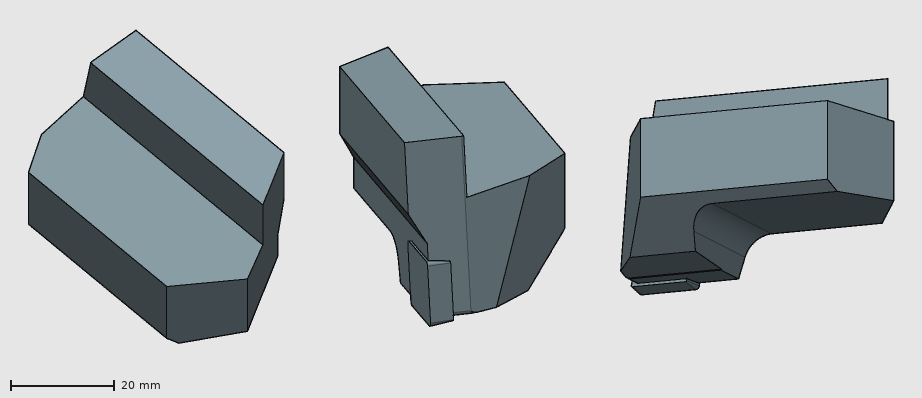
import cadquery as cq
import math


def tan(degrees):
    return math.tan(math.radians(degrees))


LENGTH = 61.7
DEPTH = 34.7
HEIGHT = 36.0

WALL_Y = 22.65
SHELF_FRONT_Z = 27.2
SHELF_SLOPE = 8.0
FRONT_FACE_BOTTOM_Z = 11.6
SOLE_Z = 1.2
SOLE_STEP = 0.2
SOLE_FRONT_Y = 9.45
RELIEF_TOP_Z = 22.0
RELIEF_DEPTH = 3.5
RELIEF_ANGLE = 30.0

LEAN = 10.0
LEFT_TOP_X = 7.45
FOOT_END_X = 21.4
FOOT_END_LEAN = 18.0
BODY_BOTTOM_Z = 9.5
FOOT_BLEND_RADIUS = 6.0
SOLE_CORNER_RADIUS = 0.7

TIP_Y = 13.9
END_ANGLE = 30.0
FRONT_LEFT_X = 14.25
FRONT_LEFT_ANGLE = 34.0
CLEARANCE_START_Y = 23.1
CLEARANCE_ANGLE = 10.0

INSERT_BACK_Y = 31.7
INSERT_THICKNESS = 4.9
INSERT_HEIGHT = 12.7
INSERT_TAPER = 7.0
NOSE_RADIUS = 0.8

left_base_x = LEFT_TOP_X - HEIGHT * tan(LEAN)


def make_section():
    """YZ cross-section, extruded over the full length."""
    back_y = DEPTH - RELIEF_DEPTH
    relief_bottom_z = RELIEF_TOP_Z - RELIEF_DEPTH / tan(RELIEF_ANGLE)
    sole_front_z = FRONT_FACE_BOTTOM_Z - SOLE_FRONT_Y
    shelf_wall_z = SHELF_FRONT_Z - WALL_Y * tan(SHELF_SLOPE)
    return (
        cq.Workplane("YZ")
        .moveTo(0, FRONT_FACE_BOTTOM_Z)
        .lineTo(SOLE_FRONT_Y, sole_front_z)
        .lineTo(WALL_Y, SOLE_Z + SOLE_STEP)
        .lineTo(WALL_Y, SOLE_Z)
        .lineTo(back_y, SOLE_Z)
        .lineTo(back_y, relief_bottom_z)
        .lineTo(DEPTH, RELIEF_TOP_Z)
        .lineTo(DEPTH, HEIGHT)
        .lineTo(WALL_Y, HEIGHT)
        .lineTo(WALL_Y, shelf_wall_z)
        .lineTo(0, SHELF_FRONT_Z)
        .close()
        .extrude(LENGTH)
    )


def make_elevation():
    """XZ outline with the leaning left side and the rounded foot."""
    foot_top_x = FOOT_END_X + (BODY_BOTTOM_Z - SOLE_Z) * tan(FOOT_END_LEAN)
    outline = (
        cq.Workplane("XZ")
        .moveTo(left_base_x + SOLE_Z * tan(LEAN), SOLE_Z)
        .lineTo(FOOT_END_X, SOLE_Z)
        .lineTo(foot_top_x, BODY_BOTTOM_Z)
        .lineTo(LENGTH, BODY_BOTTOM_Z)
        .lineTo(LENGTH, HEIGHT)
        .lineTo(LEFT_TOP_X, HEIGHT)
        .close()
        .extrude(-DEPTH)
    )
    sole_corner = cq.selectors.NearestToPointSelector((left_base_x, DEPTH / 2, SOLE_Z))
    foot_corner = cq.selectors.NearestToPointSelector((foot_top_x, DEPTH / 2, BODY_BOTTOM_Z))
    return (
        outline
        .edges("|Y").edges(sole_corner).fillet(SOLE_CORNER_RADIUS)
        .edges("|Y").edges(foot_corner).fillet(FOOT_BLEND_RADIUS)
    )


def make_plan():
    """XY outline with the pointed right end and the angled front-left face."""
    front_left_y = FRONT_LEFT_X / tan(FRONT_LEFT_ANGLE)
    return (
        cq.Workplane("XY")
        .moveTo(FRONT_LEFT_X, 0)
        .lineTo(LENGTH - TIP_Y * tan(END_ANGLE), 0)
        .lineTo(LENGTH, TIP_Y)
        .lineTo(LENGTH - (DEPTH - TIP_Y) * tan(END_ANGLE), DEPTH)
        .lineTo(0, DEPTH)
        .lineTo(0, front_left_y)
        .close()
        .extrude(HEIGHT)
    )


def make_clearance_cut():
    """Leaning wedge that makes the left face fall away toward the front."""
    outer_x = left_base_x - LEFT_TOP_X
    wedge_base = cq.Wire.makePolygon(
        [
            cq.Vector(left_base_x, CLEARANCE_START_Y, 0),
            cq.Vector(left_base_x + CLEARANCE_START_Y * tan(CLEARANCE_ANGLE), 0, 0),
            cq.Vector(outer_x, 0, 0),
            cq.Vector(outer_x, CLEARANCE_START_Y, 0),
        ],
        close=True,
    )
    sweep = cq.Vector(HEIGHT * tan(LEAN), 0, HEIGHT)
    return cq.Workplane(cq.Solid.extrudeLinear(wedge_base, [], sweep))


def make_insert():
    """Tapered rhombic insert; its rounded nose touches X = 0 and Z = 0."""
    lean_shift = INSERT_HEIGHT * tan(LEAN)
    side = INSERT_HEIGHT / math.cos(math.radians(LEAN))
    nose_x = NOSE_RADIUS * (1 - tan(LEAN) - 1 / math.cos(math.radians(LEAN)))
    corners = [
        (nose_x, 0),
        (nose_x + side, 0),
        (nose_x + side + lean_shift, INSERT_HEIGHT),
        (nose_x + lean_shift, INSERT_HEIGHT),
    ]
    outline = cq.Sketch().polygon([*corners, corners[0]]).vertices().fillet(NOSE_RADIUS)
    return (
        cq.Workplane("XZ", origin=(0, INSERT_BACK_Y, 0))
        .placeSketch(outline)
        .extrude(INSERT_THICKNESS, taper=INSERT_TAPER)
    )


def make_holder(seated_insert):
    """Holder with a pocket that fits the insert."""
    block = make_section().intersect(make_elevation()).intersect(make_plan())
    return block.cut(make_clearance_cut()).cut(seated_insert)


insert = make_insert()
holder = make_holder(insert)

result = cq.Compound.makeCompound([holder.solids().val(), insert.val()])